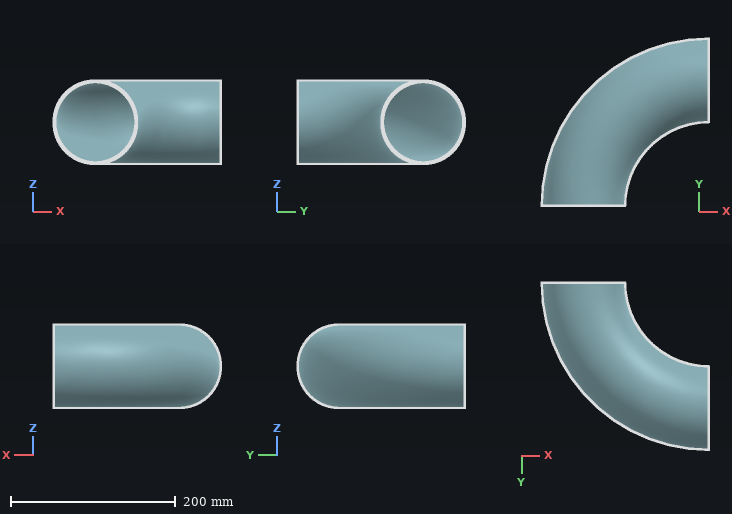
import cadquery as cq

INCH = 25.4
outer_diameter = 4.0 * INCH
wall_thickness = 0.083 * INCH
bend_radius = 1.5 * outer_diameter
bend_angle = 90.0

outer_radius = outer_diameter / 2
inner_radius = outer_radius - wall_thickness


def make_elbow():
    """Sweep the tube ring about the Z axis, from the -Y opening to the +X opening.

    The bend centre is the origin, so the -Y opening lies in the plane Y = 0
    and the +X opening in the plane X = 0.
    """
    ring = cq.Workplane("XZ").center(-bend_radius, 0).circle(outer_radius).circle(inner_radius)
    axis_start = (bend_radius, 0)
    axis_end = (bend_radius, -1)
    return ring.revolve(bend_angle, axis_start, axis_end)


result = make_elbow()